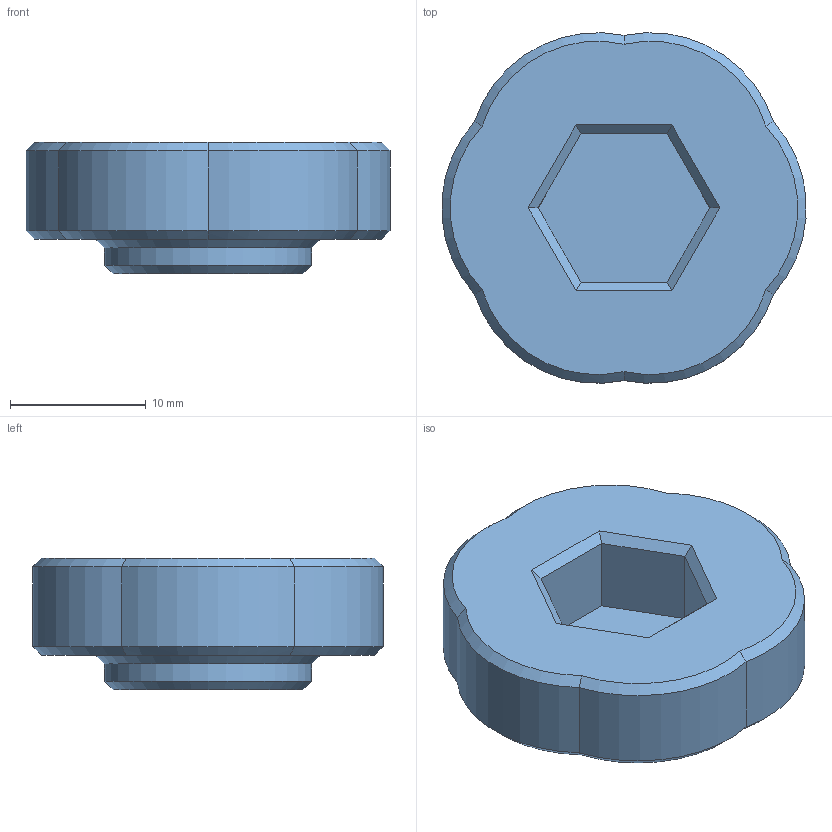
import cadquery as cq
import math

LOBE_COUNT = 6
LOBE_RADIUS = 9.525
LOBE_OFFSET = 3.905
HEAD_HEIGHT = 7.15
EDGE_CHAMFER = 0.635

NECK_DIAMETER = 15.24
NECK_HEIGHT = 2.54
NECK_FLARE = 0.635

HEX_SIDES = 6
HEX_ACROSS_FLATS = 10.95
HEX_DEPTH = 6.25

HALF_LOBE_ANGLE = math.pi / LOBE_COUNT
LOBE_TIP_RADIUS = LOBE_OFFSET + LOBE_RADIUS
CUSP_RADIUS = LOBE_OFFSET * math.cos(HALF_LOBE_ANGLE) + math.sqrt(
    LOBE_RADIUS**2 - (LOBE_OFFSET * math.sin(HALF_LOBE_ANGLE)) ** 2
)


def polar_point(radius, angle):
    return (radius * math.cos(angle), radius * math.sin(angle))


def make_head():
    """Lobed disc with its base at Z = 0, chamfered top and bottom."""
    outline = cq.Workplane("XY").moveTo(*polar_point(CUSP_RADIUS, -HALF_LOBE_ANGLE))
    for lobe in range(LOBE_COUNT):
        lobe_angle = 2 * HALF_LOBE_ANGLE * lobe
        outline = outline.threePointArc(
            polar_point(LOBE_TIP_RADIUS, lobe_angle),
            polar_point(CUSP_RADIUS, lobe_angle + HALF_LOBE_ANGLE),
        )
    head = outline.close().extrude(HEAD_HEIGHT)
    return head.faces("|Z").edges().chamfer(EDGE_CHAMFER)


def make_neck():
    """Turned neck below the head: chamfered end, 45-degree flare under the head."""
    radius = NECK_DIAMETER / 2
    return (
        cq.Workplane("XZ")
        .moveTo(0, 0)
        .lineTo(0, -NECK_HEIGHT)
        .lineTo(radius - EDGE_CHAMFER, -NECK_HEIGHT)
        .lineTo(radius, EDGE_CHAMFER - NECK_HEIGHT)
        .lineTo(radius, -NECK_FLARE)
        .lineTo(radius + NECK_FLARE, 0)
        .close()
        .revolve(360, (0, 0, 0), (0, 1, 0))
    )


def make_hex_socket():
    """Cutter for the socket, with corners on the X axis and a chamfered mouth."""
    across_corners = HEX_ACROSS_FLATS / math.cos(math.pi / HEX_SIDES)
    mouth_corners = (HEX_ACROSS_FLATS + 2 * EDGE_CHAMFER) / math.cos(math.pi / HEX_SIDES)
    shaft = (
        cq.Workplane("XY")
        .workplane(offset=HEAD_HEIGHT - HEX_DEPTH)
        .polygon(HEX_SIDES, across_corners)
        .extrude(HEX_DEPTH)
    )
    mouth = (
        cq.Workplane("XY")
        .workplane(offset=HEAD_HEIGHT - EDGE_CHAMFER)
        .polygon(HEX_SIDES, across_corners)
        .workplane(offset=EDGE_CHAMFER)
        .polygon(HEX_SIDES, mouth_corners)
        .loft(ruled=True)
    )
    return shaft.union(mouth)


result = make_head().union(make_neck()).cut(make_hex_socket())